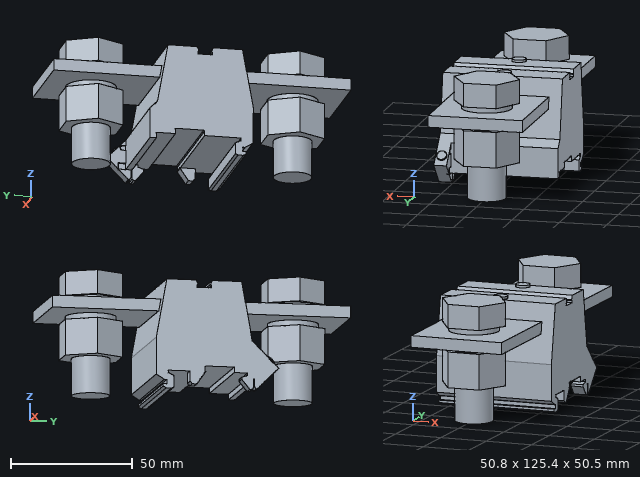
import cadquery as cq
import math


body_width = 50.8
half_body = body_width / 2
top_z = 45.6
top_half_length = 15.75
front_y = -20.2
rear_shoulder_y = 20.15
shoulder_z = 21.0
rear_y = 23.3
rear_wall_top_z = shoulder_z - (rear_y - rear_shoulder_y)
front_wall_bottom_z = 5.6

groove_floor_z = 42.5
groove_undercut_z = 43.4
groove_lip_z = 43.9
groove_half_floor = 3.0
groove_half_lip = 2.6
groove_half_mouth = 3.35

seat_z = 7.4
recess_z = 9.7
recess_front_y = 0.3
recess_rear_y = 12.6
recess_chamfer = 0.4
rear_ledge_z = 5.05
rear_ledge_y = 20.65

hook_inner_y = -12.7
hook_throat_y = -15.1
slit_y = -15.8
slit_bottom_z = 1.7
slit_top_z = 3.5
hook_tip_y = -17.3
hook_tip_z = 0.7
slit_mouth_y = -16.8
hook_inner_bottom_z = 0.5
hook_inner_top_z = 5.2
hook_throat_z = 6.4
hook_sole_front_y = -16.0
hook_sole_rear_y = -13.8

clip_width = 5.5
clip_inner_x = half_body - clip_width
clip_tip_y = 31.3
clip_tip_z = shoulder_z - (clip_tip_y - rear_shoulder_y)
clip_bottom_z = 0.85
clip_bottom_y = clip_tip_y - (clip_tip_z - clip_bottom_z)
clip_foot_y = 21.05
clip_foot_flat = 0.6
clip_foot_bevel_z = 1.9
pocket_depth = 1.0
slot_radius = 1.05
slot_end_y = 24.5
slot_z = 14.35
window_height = 2.75
window_rear_y = 26.4
clip_screw_diameter = 4.2
clip_screw_height = 0.7
clip_screw_y = 28.0

latch_bottom_z = 0.6
latch_bottom_front_y = 19.1
latch_bevel = 0.6
barb_tip_y = 15.7
barb_bottom_z = 4.7
barb_top_z = 5.6
barb_root_y = 18.1
barb_root_z = 6.4

middle_foot_rear_y = 0.6
middle_foot_front_y = -6.0
middle_foot_bottom_z = 2.1
middle_foot_bottom_rear_y = -3.1
middle_foot_bevel = 1.0

button_diameter = 6.0
button_height = 1.0
button_y = 12.5

bar_length = 125.4
bar_width = 40.0
bar_thickness = 5.0
bar_bottom_z = 33.0
bolt_y = 42.5
bolt_diameter = 16.0
hex_flats = 24.0
hex_corners = hex_flats / math.cos(math.pi / 6)
head_height = 10.0
nut_height = 15.0
washer_diameter = 21.0
washer_thickness = 2.5
bolt_bottom_z = 0.0


def extrude_along_x(points, start_x, length):
    """Prism from a closed (Y, Z) outline, running in +X from start_x."""
    return cq.Workplane("YZ").workplane(offset=start_x).polyline(points).close().extrude(length)


def cylinder(diameter, height, x, y, z):
    """Upright cylinder standing on height z."""
    return cq.Workplane("XY", origin=(x, y, z)).circle(diameter / 2).extrude(height)


def hexagon(height, y, z):
    """Upright hexagonal prism with two opposite corners along X."""
    return cq.Workplane("XY", origin=(0, y, z)).polygon(6, hex_corners).extrude(height)


def make_body():
    groove = [
        (groove_half_mouth, top_z),
        (groove_half_lip, groove_lip_z),
        (groove_half_floor, groove_undercut_z),
        (groove_half_floor, groove_floor_z),
    ]
    mirrored_groove = [(-y, z) for y, z in reversed(groove)]
    hook = [
        (front_y, front_wall_bottom_z),
        (slit_mouth_y, slit_top_z),
        (slit_y, slit_top_z),
        (slit_y, slit_bottom_z),
        (hook_tip_y, slit_bottom_z),
        (hook_tip_y, hook_tip_z),
        (hook_sole_front_y, 0),
        (hook_sole_rear_y, 0),
        (hook_inner_y, hook_inner_bottom_z),
        (hook_inner_y, hook_inner_top_z),
        (hook_throat_y, hook_throat_z),
        (hook_throat_y, seat_z),
    ]
    rail_seat = [
        (recess_front_y, seat_z),
        (recess_front_y, recess_z - recess_chamfer),
        (recess_front_y + recess_chamfer, recess_z),
        (recess_rear_y, recess_z),
        (recess_rear_y, seat_z),
        (rear_ledge_y, seat_z),
        (rear_ledge_y, rear_ledge_z),
        (rear_y, rear_ledge_z),
    ]
    rear_wall = [
        (rear_y, rear_wall_top_z),
        (rear_shoulder_y, shoulder_z),
        (top_half_length, top_z),
    ]
    front_wall = [(-top_half_length, top_z), (front_y, shoulder_z)]
    outline = rear_wall + groove + mirrored_groove + front_wall + hook + rail_seat
    return extrude_along_x(outline, -half_body, body_width)


def make_clip():
    wing = extrude_along_x(
        [
            (rear_shoulder_y, shoulder_z),
            (clip_tip_y, clip_tip_z),
            (clip_bottom_y, clip_bottom_z),
            (clip_bottom_y - clip_foot_flat, clip_bottom_z),
            (clip_foot_y, clip_foot_bevel_z),
            (clip_foot_y, rear_ledge_z),
        ],
        clip_inner_x,
        clip_width,
    )
    slot = (
        cq.Workplane("YZ", origin=(clip_inner_x, 0, 0))
        .moveTo(rear_y, slot_z - slot_radius)
        .lineTo(slot_end_y, slot_z - slot_radius)
        .threePointArc((slot_end_y + slot_radius, slot_z), (slot_end_y, slot_z + slot_radius))
        .lineTo(rear_y, slot_z + slot_radius)
        .close()
        .extrude(pocket_depth)
    )
    window_length = window_rear_y - rear_y
    window = cq.Workplane("XY").box(pocket_depth, window_length, window_height, centered=False)
    window = window.translate((clip_inner_x, rear_y, rear_ledge_z))
    screw_x = half_body - clip_width / 2
    screw_z = shoulder_z - (clip_screw_y - rear_shoulder_y)
    slope_plane = cq.Plane(origin=(screw_x, clip_screw_y, screw_z), xDir=(1, 0, 0), normal=(0, 1, 1))
    screw = cq.Workplane(slope_plane).circle(clip_screw_diameter / 2).extrude(clip_screw_height)
    return wing.cut(slot).cut(window).union(screw)


def make_clip_feet():
    latch = [
        (rear_ledge_y, recess_z),
        (rear_ledge_y, latch_bottom_z + latch_bevel),
        (rear_ledge_y - latch_bevel, latch_bottom_z),
        (latch_bottom_front_y, latch_bottom_z),
        (barb_tip_y, barb_bottom_z),
        (barb_tip_y, barb_top_z),
        (barb_root_y, barb_root_z),
        (barb_root_y, recess_z),
    ]
    middle_foot = [
        (middle_foot_rear_y, seat_z),
        (middle_foot_bottom_rear_y, middle_foot_bottom_z),
        (middle_foot_front_y + middle_foot_bevel, middle_foot_bottom_z),
        (middle_foot_front_y, middle_foot_bottom_z + middle_foot_bevel),
        (middle_foot_front_y, seat_z),
    ]
    rear = extrude_along_x(latch, clip_inner_x, clip_width)
    middle = extrude_along_x(middle_foot, clip_inner_x, clip_width)
    return rear.union(middle)


def make_bolt(y):
    bar_top_z = bar_bottom_z + bar_thickness
    head_z = bar_top_z + washer_thickness
    lower_washer_z = bar_bottom_z - washer_thickness
    shank = cylinder(bolt_diameter, head_z - bolt_bottom_z, 0, y, bolt_bottom_z)
    washers = cylinder(washer_diameter, head_z - lower_washer_z, 0, y, lower_washer_z)
    head = hexagon(head_height, y, head_z)
    nut = hexagon(nut_height, y, lower_washer_z - nut_height)
    return shank.union(washers).union(head).union(nut)


busbar = cq.Workplane("XY").box(bar_width, bar_length, bar_thickness, centered=(True, True, False))
busbar = busbar.translate((0, 0, bar_bottom_z))

result = make_body().union(make_clip()).union(make_clip_feet()).union(busbar)
for side in (-1, 1):
    result = result.union(make_bolt(side * bolt_y))
    result = result.union(cylinder(button_diameter, button_height, 0, side * button_y, top_z))